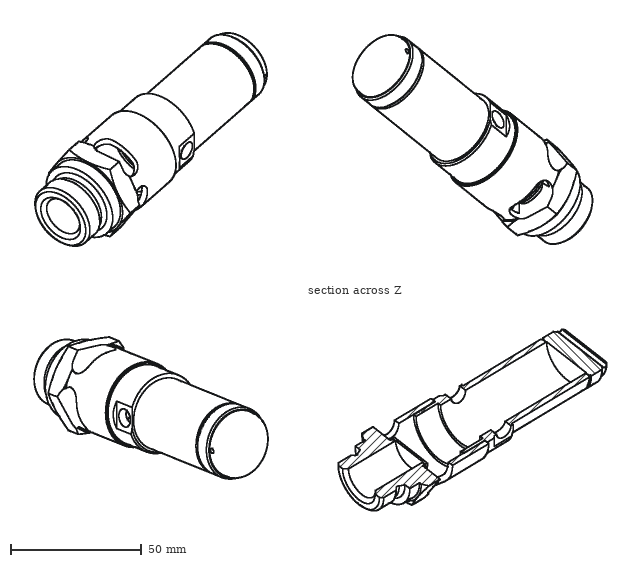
import cadquery as cq
import math

total_length = 116.0

thread_radius = 13.2
thread_chamfer = 1.2
thread_top = 7.5
bore_radius = 7.9
bore_chamfer = 1.6
neck_radius = 11.8
neck_y = 9.3
neck_slope_radius = 12.2
neck_half_width = 0.7

flange_radius = 16.0
flange_bottom = 12.1
hex_across_flats = 34.0
hex_bottom = 17.0
hex_top = 26.0
hex_top_radius = 17.6
hex_chamfer_angle = 30.0

cage_radius = hex_across_flats / 2
cage_inner_radius = 14.4
cage_top = 51.9
cage_chamfer = 0.3
slot_count = 4
slot_radius = 4.3
slot_y = 28.8
slot_sweep = 41.0
nozzle_radius = 9.5
nozzle_top = 25.8

disc_radius = 9.6
disc_thickness = 1.0

collar_radius = flange_radius
collar_top = 65.8
collar_chamfer = 0.7
bonnet_bore_radius = 11.5
spigot_bottom = 40.6
spigot_bore_radius = 13.0
tube_radius = 14.3
tube_top = 106.0
rim_chamfer = 0.7
flat_distance = 15.02
flat_width = 11.0
flat_bottom = 56.1
side_hole_radius = 3.6
side_hole_y = 61.0

gap_width = 0.3
cap_ring_top = 112.6
cap_end_radius = 13.2
cap_end_fillet = 1.5
wire_hole_radius = 0.9
wire_hole_y = 114.1


def revolve_about_axis(profile):
    """Turn a closed (radius, y) sketch fully around the Y axis."""
    return profile.close().revolve(360, (0, 0, 0), (0, 1, 0))


def ring(inner_radius, outer_radius, start_y, end_y):
    """A tube along Y; an inner radius of zero gives a plain cylinder."""
    section = cq.Workplane("XZ", origin=(0, start_y, 0)).circle(outer_radius)
    if inner_radius > 0:
        section = section.circle(inner_radius)
    return section.extrude(start_y - end_y)


def cross_hole(radius, y):
    """A cutter along X that runs right through the valve."""
    half_length = hex_across_flats
    return cq.Workplane("YZ", origin=(-half_length, y, 0)).circle(radius).extrude(2 * half_length)


def make_inlet():
    """Flange, undercut neck and thread, still without the bore."""
    return revolve_about_axis(
        cq.Workplane("XY")
        .moveTo(0, 0)
        .lineTo(thread_radius - thread_chamfer, 0)
        .lineTo(thread_radius, thread_chamfer)
        .lineTo(thread_radius, thread_top)
        .lineTo(neck_slope_radius, neck_y - neck_half_width)
        .threePointArc((neck_radius, neck_y), (neck_slope_radius, neck_y + neck_half_width))
        .lineTo(thread_radius, flange_bottom)
        .lineTo(flange_radius, flange_bottom)
        .lineTo(flange_radius, hex_bottom)
        .lineTo(0, hex_bottom)
    )


def make_hexagon():
    """Hexagon with corners at +X and -X, its corners turned off by a cone at both ends."""
    corner_radius = hex_across_flats / math.sqrt(3)
    cone_slope = math.tan(math.radians(hex_chamfer_angle))
    prism = (
        cq.Workplane("XZ", origin=(0, hex_bottom, 0))
        .polygon(6, 2 * corner_radius)
        .extrude(hex_bottom - hex_top)
    )
    envelope = revolve_about_axis(
        cq.Workplane("XY")
        .moveTo(0, hex_bottom)
        .lineTo(cage_radius, hex_bottom)
        .lineTo(corner_radius, hex_bottom + (corner_radius - cage_radius) * cone_slope)
        .lineTo(corner_radius, hex_top - (corner_radius - hex_top_radius) * cone_slope)
        .lineTo(hex_top_radius, hex_top)
        .lineTo(0, hex_top)
    )
    return prism.intersect(envelope)


def make_slot_cutter():
    """Outlet slot from +Z towards +X: two radial round ends joined by a swept rectangle.

    The slots reach below the chamber floor and stop at the nozzle, which they leave standing.
    """
    reach = hex_across_flats
    first_end = cq.Workplane("XY", origin=(0, slot_y, 0)).circle(slot_radius).extrude(reach)
    second_end = first_end.rotate((0, 0, 0), (0, 1, 0), slot_sweep)
    middle = (
        cq.Workplane("YZ")
        .moveTo(slot_y - slot_radius, 0)
        .lineTo(slot_y + slot_radius, 0)
        .lineTo(slot_y + slot_radius, reach)
        .lineTo(slot_y - slot_radius, reach)
        .close()
        .revolve(slot_sweep, (0, 0, 0), (1, 0, 0))
    )
    outside_nozzle = ring(nozzle_radius, 2 * reach, 0, total_length)
    return first_end.union(second_end).union(middle).intersect(outside_nozzle)


def make_housing():
    cage = ring(0, cage_radius, hex_bottom, cage_top).faces(">Y").edges().chamfer(cage_chamfer)
    housing = make_inlet().union(make_hexagon()).union(cage)

    housing = housing.cut(ring(0, cage_inner_radius, nozzle_top, cage_top))

    bore = revolve_about_axis(
        cq.Workplane("XY")
        .lineTo(bore_radius + bore_chamfer, 0)
        .lineTo(bore_radius, bore_chamfer)
        .lineTo(bore_radius, nozzle_top)
        .lineTo(0, nozzle_top)
    )
    housing = housing.cut(bore)

    slot = make_slot_cutter()
    for index in range(slot_count):
        housing = housing.cut(slot.rotate((0, 0, 0), (0, 1, 0), index * 360 / slot_count))
    return housing


def make_disc():
    return ring(0, disc_radius, nozzle_top, nozzle_top + disc_thickness)


def make_collar():
    """Collar whose upper rim is chamfered on the -Z half only."""
    collar = ring(0, collar_radius, cage_top, collar_top)
    chamfered = collar.faces(">Y").edges().chamfer(collar_chamfer)
    size = 4 * collar_radius
    upper_half = cq.Workplane("XY").box(size, 2 * total_length, size, centered=(True, True, False))
    return collar.intersect(upper_half).union(chamfered.cut(upper_half))


def make_flat_cutter():
    """Cutter for the flat on the -X side, with a 45 degree run-out at its lower end."""
    depth = collar_radius - flat_distance
    return (
        cq.Workplane("XY", origin=(0, 0, -flat_width / 2))
        .moveTo(-flat_distance, collar_top)
        .lineTo(-flat_distance, flat_bottom)
        .lineTo(-flat_distance - depth, flat_bottom - depth)
        .lineTo(-flat_distance - depth, collar_top)
        .close()
        .extrude(flat_width)
    )


def make_bonnet():
    """Hollow bonnet: spigot inside the cage, collar with two flats, and the long tube."""
    flat = make_flat_cutter()
    collar = make_collar().cut(flat).cut(flat.mirror("YZ"))
    tube = ring(0, tube_radius, cage_top, tube_top).faces(">Y").edges().chamfer(rim_chamfer)
    spigot = ring(0, cage_inner_radius, spigot_bottom, cage_top)
    spigot_bore = ring(0, spigot_bore_radius, spigot_bottom, cage_top)
    tube_bore = ring(0, bonnet_bore_radius, cage_top, tube_top)
    bonnet = spigot.union(collar).union(tube)
    return bonnet.cut(spigot_bore).cut(tube_bore).cut(cross_hole(side_hole_radius, side_hole_y))


def make_cap():
    """Cap resting on the tube, with a short neck that leaves a narrow gap below its ring."""
    neck = ring(0, tube_radius - rim_chamfer, tube_top, tube_top + gap_width)
    grip = ring(0, tube_radius, tube_top + gap_width, cap_ring_top).faces(">Y").edges().chamfer(rim_chamfer)
    end = ring(0, cap_end_radius, cap_ring_top, total_length).faces(">Y").edges().fillet(cap_end_fillet)
    return neck.union(grip).union(end).cut(cross_hole(wire_hole_radius, wire_hole_y))


housing = make_housing()
disc = make_disc()
bonnet = make_bonnet()
cap = make_cap()
bodies = [housing, disc, bonnet, cap]

result = cq.Compound.makeCompound([body.solids().val() for body in bodies])